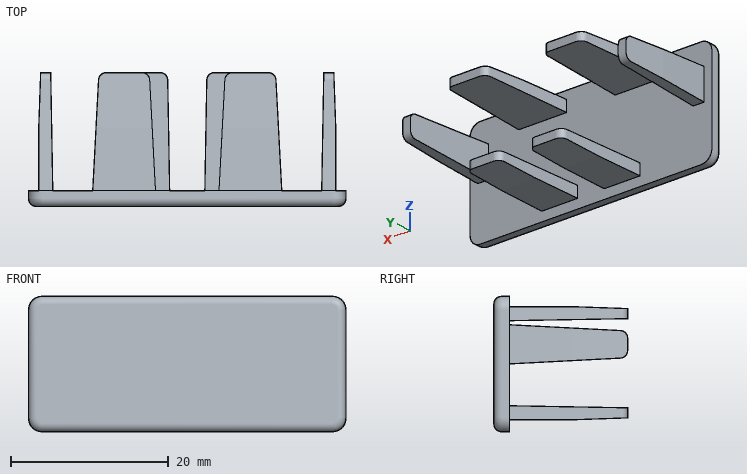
import cadquery as cq
import math

plate_length = 40.3
plate_height = 17.2
plate_thickness = 2.0
plate_corner_radius = 1.75
front_edge_radius = 1.0

total_depth = 17.0
leg_length = total_depth - plate_thickness
leg_thickness = 1.8
leg_bend = 7.98
outer_face_angle = 2.0
inner_face_angle = 1.0
tip_radius = 1.0

upper_leg_width = 7.98
upper_leg_x = 8.0
upper_leg_outer_z = 7.3
upper_leg_side_angle = 3.0

lower_leg_width = 5.95
lower_leg_inner_x = 2.2
lower_leg_x = lower_leg_inner_x + lower_leg_width / 2
lower_leg_outer_z = 7.1
lower_leg_side_angle = 1.0

end_leg_width = 5.0
end_leg_outer_x = 18.85
end_leg_z = 2.5
end_leg_side_angle = 3.0


def taper(length, angle):
    """Sideways shift of a face leaning by angle degrees over a length."""
    return length * math.tan(math.radians(angle))


def make_plate():
    """Rectangular plate with rounded corners and a rounded front rim."""
    return (
        cq.Workplane("XY")
        .box(plate_length, plate_thickness, plate_height, centered=(True, False, True))
        .edges("|Y")
        .fillet(plate_corner_radius)
        .faces("<Y")
        .edges()
        .fillet(front_edge_radius)
    )


def make_leg(width, side_angle):
    """Leg along +Y: width centred on X, outer face at Z = 0 facing +Z."""
    root_y = plate_thickness
    bend_y = root_y + leg_bend
    tip_y = root_y + leg_length
    root_half = width / 2
    tip_half = root_half - taper(leg_length, side_angle)

    tongue = (
        cq.Workplane("XY")
        .polyline([(-root_half, root_y), (root_half, root_y), (tip_half, tip_y), (-tip_half, tip_y)])
        .close()
        .extrude(-leg_thickness)
        .edges("|Z and >Y")
        .fillet(tip_radius)
    )

    outer_tip_z = -taper(leg_length - leg_bend, outer_face_angle)
    inner_tip_z = -leg_thickness + taper(leg_length, inner_face_angle)
    thickness_profile = (
        cq.Workplane("YZ")
        .polyline([
            (root_y, 0),
            (bend_y, 0),
            (tip_y, outer_tip_z),
            (tip_y, inner_tip_z),
            (root_y, -leg_thickness),
        ])
        .close()
        .extrude(root_half, both=True)
    )
    return tongue.intersect(thickness_profile)


def turn_about_y(leg, angle):
    return leg.rotate((0, 0, 0), (0, 1, 0), angle)


upper_leg = make_leg(upper_leg_width, upper_leg_side_angle)
lower_leg = turn_about_y(make_leg(lower_leg_width, lower_leg_side_angle), 180)
end_leg = turn_about_y(make_leg(end_leg_width, end_leg_side_angle), 90)

right_legs = [
    upper_leg.translate((upper_leg_x, 0, upper_leg_outer_z)),
    lower_leg.translate((lower_leg_x, 0, -lower_leg_outer_z)),
    end_leg.translate((end_leg_outer_x, 0, end_leg_z)),
]

result = make_plate()
for leg in right_legs:
    result = result.union(leg).union(leg.mirror("YZ"))